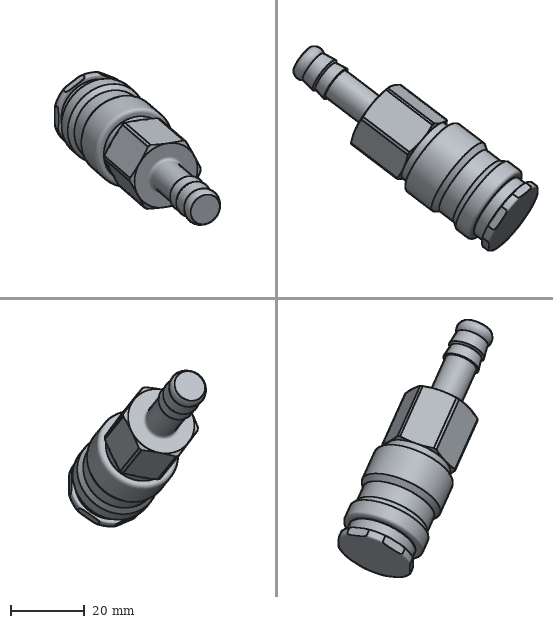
import cadquery as cq
import math


FLANGE_LENGTH = 2.5
FLANGE_FLATS = 21.0
FLANGE_DIAMETER = 22.0
FLANGE_EDGE_RADIUS = (FLANGE_DIAMETER - FLANGE_FLATS) / 2
FLANGE_CORNER_ANGLE = 90

SLEEVE_START = 6.0
SLEEVE_END = 29.1
SLEEVE_DIAMETER = 23.2
SLEEVE_FRONT_RADIUS = 0.9
SLEEVE_REAR_RADIUS = 1.1
GRIP_DIAMETER = 21.0
GRIP_START = 12.5
GRIP_END = 17.5
GRIP_TAPER_LENGTH = 1.8
OUTER_RIM = cq.selectors.RadiusNthSelector(-1)

NECK_DIAMETER = 19.4
BORE_DIAMETER = 18.9

HEX_START = 31.5
HEX_END = 48.65
HEX_FLATS = 18.9
HEX_DIAMETER = 21.35
HEX_CORNER_ANGLE = -3.2
HEX_CHAMFER_LENGTH = 0.45

LENGTH = 73.6
SHANK_DIAMETER = 9.1
SHANK_FILLET = 0.9
BARB_DIAMETER = 10.4
BARB_VALLEY_DIAMETER = 9.3
FIRST_BARB_START = 62.2
FIRST_BARB_END = 65.65
SECOND_BARB_START = 66.2
SECOND_BARB_END = 70.1
TIP_DIAMETER = 8.7


def revolve_about_x(profile):
    """Turn a closed profile, drawn as (x, radius), about the X axis."""
    return profile.close().revolve(360, (0, 0, 0), (1, 0, 0))


def cylinder(start, end, diameter):
    """A round bar along X."""
    return cq.Workplane("YZ", origin=(start, 0, 0)).circle(diameter / 2).extrude(end - start)


def hexagonal_bar(start, end, flats, corner_angle):
    """A sharp hexagonal bar along X; the corner angle is measured from +Y towards +Z."""
    corner_diameter = flats / math.cos(math.pi / 6)
    bar = cq.Workplane("YZ", origin=(start, 0, 0)).polygon(6, corner_diameter).extrude(end - start)
    return bar.rotate((0, 0, 0), (1, 0, 0), corner_angle)


def make_flange():
    """Hexagon whose corners are turned round and rolled over at both faces."""
    round_limit = cylinder(0, FLANGE_LENGTH, FLANGE_DIAMETER).edges("%CIRCLE").fillet(FLANGE_EDGE_RADIUS)
    return hexagonal_bar(0, FLANGE_LENGTH, FLANGE_FLATS, FLANGE_CORNER_ANGLE).intersect(round_limit)


def make_wrench_hexagon():
    """Hexagon with turned corners and a conical chamfer at each end."""
    face_radius = HEX_FLATS / 2
    corner_radius = HEX_DIAMETER / 2
    round_limit = revolve_about_x(
        cq.Workplane("XY")
        .moveTo(HEX_START, 0)
        .lineTo(HEX_START, face_radius)
        .lineTo(HEX_START + HEX_CHAMFER_LENGTH, corner_radius)
        .lineTo(HEX_END - HEX_CHAMFER_LENGTH, corner_radius)
        .lineTo(HEX_END, face_radius)
        .lineTo(HEX_END, 0)
    )
    return hexagonal_bar(HEX_START, HEX_END, HEX_FLATS, HEX_CORNER_ANGLE).intersect(round_limit)


def make_hose_barb():
    """Shank with a filleted root, two barbs and a rounded tip."""
    shank_radius = SHANK_DIAMETER / 2
    barb_radius = BARB_DIAMETER / 2
    valley_radius = BARB_VALLEY_DIAMETER / 2
    fillet_middle = SHANK_FILLET * (1 - math.sqrt(0.5))
    return revolve_about_x(
        cq.Workplane("XY")
        .moveTo(HEX_END, 0)
        .lineTo(HEX_END, shank_radius + SHANK_FILLET)
        .threePointArc(
            (HEX_END + fillet_middle, shank_radius + fillet_middle),
            (HEX_END + SHANK_FILLET, shank_radius),
        )
        .lineTo(FIRST_BARB_START, shank_radius)
        .lineTo(FIRST_BARB_START, barb_radius)
        .lineTo(FIRST_BARB_END, valley_radius)
        .lineTo(SECOND_BARB_START, barb_radius)
        .lineTo(SECOND_BARB_END, valley_radius)
        .threePointArc(((SECOND_BARB_END + LENGTH) / 2, barb_radius), (LENGTH, TIP_DIAMETER / 2))
        .lineTo(LENGTH, 0)
    )


def make_core():
    """Flange, necks, wrench hexagon and hose barb in one piece."""
    neck = cylinder(FLANGE_LENGTH, SLEEVE_START, NECK_DIAMETER)
    sleeve_seat = cylinder(SLEEVE_START, HEX_START, BORE_DIAMETER)
    return (
        make_flange()
        .union(neck)
        .union(sleeve_seat)
        .union(make_wrench_hexagon())
        .union(make_hose_barb())
    )


def make_sleeve():
    """Ring with rounded ends and a grip groove between two tapers."""
    bore_radius = BORE_DIAMETER / 2
    outer_radius = SLEEVE_DIAMETER / 2
    grip_radius = GRIP_DIAMETER / 2
    ring = revolve_about_x(
        cq.Workplane("XY")
        .moveTo(SLEEVE_START, bore_radius)
        .lineTo(SLEEVE_START, outer_radius)
        .lineTo(GRIP_START - GRIP_TAPER_LENGTH, outer_radius)
        .lineTo(GRIP_START, grip_radius)
        .lineTo(GRIP_END, grip_radius)
        .lineTo(GRIP_END + GRIP_TAPER_LENGTH, outer_radius)
        .lineTo(SLEEVE_END, outer_radius)
        .lineTo(SLEEVE_END, bore_radius)
    )
    ring = ring.faces("<X").edges(OUTER_RIM).fillet(SLEEVE_FRONT_RADIUS)
    return ring.faces(">X").edges(OUTER_RIM).fillet(SLEEVE_REAR_RADIUS)


core = make_core()
sleeve = make_sleeve()

result = cq.Compound.makeCompound([core.val(), sleeve.val()])